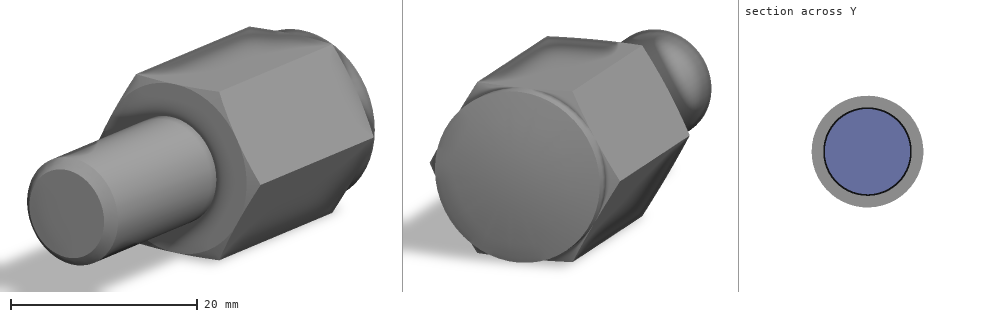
import cadquery as cq
import math

total_length = 45.0
stud_length = 20.0
stud_diameter = 12.0
stud_tip_chamfer = 1.1
neck_diameter = 9.4
neck_length = 0.7

across_flats = 19.0
across_corners = across_flats / math.cos(math.radians(30))
corner_chamfer_angle = 20.0
dome_height = 1.3
collar_length = 1.7

head_radius = across_flats / 2
corner_radius = across_corners / 2
stud_radius = stud_diameter / 2
neck_radius = neck_diameter / 2

neck_start = stud_length - neck_length
hex_start = stud_length
dome_start = total_length - dome_height
hex_end = dome_start - collar_length
corner_drop = (corner_radius - head_radius) * math.tan(math.radians(corner_chamfer_angle))


def make_stud():
    """Stud with a chamfered tip and an undercut neck below the hexagon."""
    profile = (
        cq.Workplane("XY")
        .lineTo(stud_radius - stud_tip_chamfer, 0)
        .lineTo(stud_radius, stud_tip_chamfer)
        .lineTo(stud_radius, neck_start)
        .lineTo(neck_radius, neck_start)
        .lineTo(neck_radius, hex_start)
        .lineTo(0, hex_start)
        .close()
    )
    return profile.revolve(360, (0, 0), (0, 1))


def make_hexagon():
    """Hexagon with corners on the X axis, turned conically at both ends."""
    prism = (
        cq.Workplane("XZ", origin=(0, hex_start, 0))
        .polygon(6, across_corners)
        .extrude(hex_start - hex_end)
    )
    turned_blank = (
        cq.Workplane("XY")
        .moveTo(0, hex_start)
        .lineTo(head_radius, hex_start)
        .lineTo(corner_radius, hex_start + corner_drop)
        .lineTo(corner_radius, hex_end - corner_drop)
        .lineTo(head_radius, hex_end)
        .lineTo(0, hex_end)
        .close()
        .revolve(360, (0, 0), (0, 1))
    )
    return prism.intersect(turned_blank)


def make_domed_collar():
    """Round collar as wide as the flats, closed by a shallow spherical dome."""
    sphere_radius = (head_radius**2 + dome_height**2) / (2 * dome_height)
    profile = (
        cq.Workplane("XY")
        .moveTo(0, hex_end)
        .lineTo(head_radius, hex_end)
        .lineTo(head_radius, dome_start)
        .radiusArc((0, total_length), -sphere_radius)
        .close()
    )
    return profile.revolve(360, (0, 0), (0, 1))


part = make_stud().union(make_hexagon()).union(make_domed_collar())

result = part.translate((0, -total_length / 2, 0))